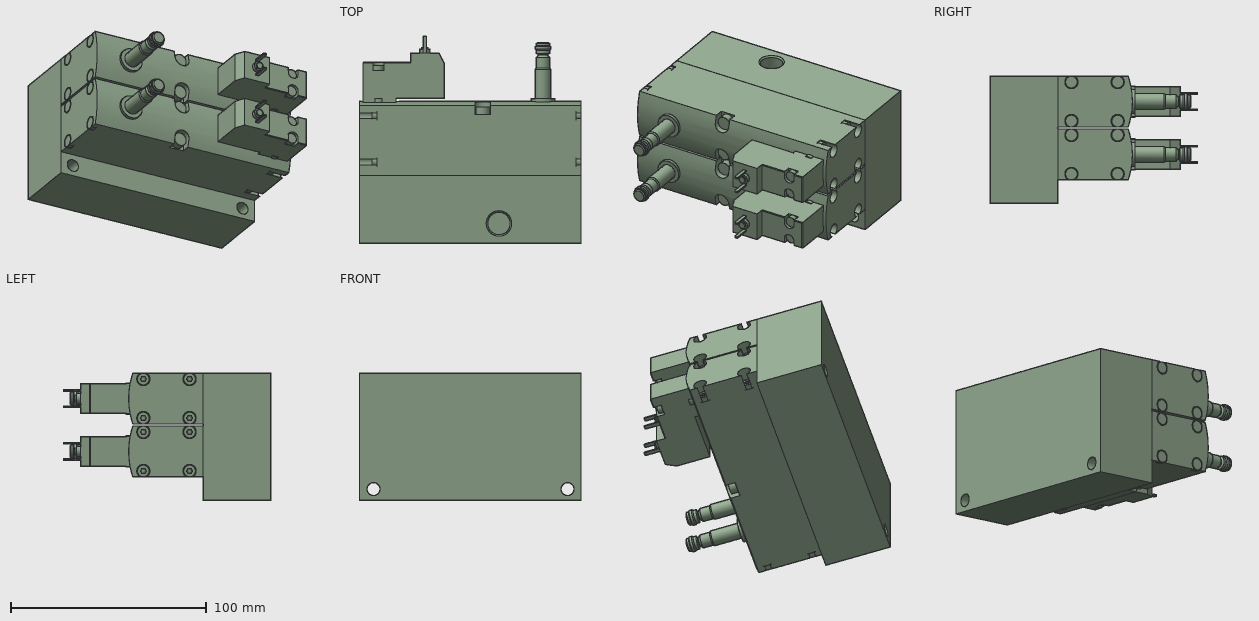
import cadquery as cq
import math

length = 113.1
block_depth = 34.6
block_height = 65.0
valve_width = 26.0
valve_pitch = 27.0
valve_count = 2
top_valve_z = block_height - valve_width / 2

mount_hole_dia = 6.5
mount_hole_x = (7.2, 106.2)
mount_hole_z = 5.8
port_dia = 11.45
port_chamfer_dia = 13.0
port_depth = 12.0
port_x = 71.2
port_y = 10.2
port_chamfer = (port_chamfer_dia - port_dia) / 2

half_width = valve_width / 2
housing_edge_y = 70.5
housing_crown_y = 72.6
left_cap_end_x = 22.1
right_cap_start_x = 104.2
base_strip_end_y = 41.4

cap_pocket_dia = 6.77
cap_head_dia = 6.0
cap_head_length = 2.6
cap_pocket_depth = 8.9
cap_screw_y = (41.5, 65.1)
cap_screw_z = 9.95
socket_core_dia = 2.01
socket_lobe_dia = 0.9
socket_lobe_radius = 1.05
socket_depth = 1.2
socket_lobes = 6

body_screw_x = 63.0
body_slot_width = 8.0
body_slot_floor_y = 65.7
body_head_dia = 7.0
body_head_top_y = 69.6

pilot_width = 15.2
pilot_start_x = 1.8
pilot_foot_end_x = 18.7
pilot_end_x = 43.4
pilot_underside_y = 74.0
pilot_ledge_y = 92.5
pilot_step_x = 26.1
pilot_ledge_chamfer = 0.4
pilot_top_y = 97.1
pilot_bevel_x = 2.7
pilot_bevel_y = 5.3

pilot_screw_x = 9.75
pilot_slot_width = 5.7
pilot_slot_floor_y = 88.3
pilot_head_dia = 5.5
pilot_head_top_y = 90.9
pilot_boss_dia = 7.0
pilot_boss_projection = 0.45

plug_x = 33.4
plug_base_dia = 5.3
plug_base_top_y = 99.1
plug_nub_dia = 3.4
plug_nub_top_y = 100.0
blade_width = 1.8
blade_thickness = 0.8
blade_spacing = 8.2
blade_top_y = 105.8
blade_tip_chamfer = 0.3

connector_x = 93.7
flange_dia = 12.3
flange_top_y = 73.9
shaft_dia = 8.0
shaft_top_y = 88.8
sleeve_dia = 7.0
sleeve_start_y = 89.6
sleeve_end_y = 94.8
neck_dia = 4.5
neck_start_y = 96.1
neck_end_y = 96.4
collar_start_y = 96.9
collar_end_y = 98.4
thread_root_dia = 6.77
thread_dia = 8.0
thread_crest_start_y = 99.1
thread_crest_end_y = 100.4
thread_root_end_y = 100.9
tip_chamfer = 0.6
connector_end_y = 102.5

sides = (-1, 1)


def cylinder_y(x, z, diameter, y_start, y_end):
    """Cylinder along +Y between two Y positions."""
    return cq.Workplane("XZ", origin=(x, y_end, z)).circle(diameter / 2).extrude(y_end - y_start)


def cylinder_x(y, z, diameter, x_start, x_end):
    """Cylinder along +X between two X positions."""
    axis = cq.Vector(1, 0, 0)
    solid = cq.Solid.makeCylinder(diameter / 2, x_end - x_start, cq.Vector(x_start, y, z), axis)
    return cq.Workplane(obj=solid)


def box_between(x_range, y_range, z_range):
    """Box given by its lower and upper limits on each axis."""
    sizes = [high - low for low, high in (x_range, y_range, z_range)]
    return cq.Workplane().box(*sizes, centered=False).translate((x_range[0], y_range[0], z_range[0]))


def make_manifold():
    block = box_between((0, length), (0, block_depth), (0, block_height))
    for x in mount_hole_x:
        block = block.cut(cylinder_y(x, mount_hole_z, mount_hole_dia, 0, block_depth))
    port = (
        cq.Workplane("XY", origin=(port_x, port_y, block_height - port_depth))
        .circle(port_dia / 2)
        .extrude(port_depth)
    )
    mouth = cq.Solid.makeCone(
        port_dia / 2,
        port_chamfer_dia / 2,
        port_chamfer,
        cq.Vector(port_x, port_y, block_height - port_chamfer),
    )
    return block.cut(port).cut(cq.Workplane(obj=mouth))


def crowned_section(x_start, x_end, y_start):
    """Length of housing whose back face is an arc across the valve width."""
    return (
        cq.Workplane("YZ", origin=(x_start, 0, 0))
        .moveTo(y_start, -half_width)
        .lineTo(housing_edge_y, -half_width)
        .threePointArc((housing_crown_y, 0), (housing_edge_y, half_width))
        .lineTo(y_start, half_width)
        .close()
        .extrude(x_end - x_start)
    )


def make_housing():
    """Caps, middle and base strip are joined so that their joint lines stay visible."""
    left_cap = crowned_section(0, left_cap_end_x, block_depth)
    middle = crowned_section(left_cap_end_x, right_cap_start_x, base_strip_end_y)
    right_cap = crowned_section(right_cap_start_x, length, block_depth)
    base_strip = box_between(
        (left_cap_end_x, right_cap_start_x),
        (block_depth, base_strip_end_y),
        (-half_width, half_width),
    )
    housing = left_cap
    for piece in (middle, right_cap, base_strip):
        housing = housing.union(piece, clean=False)
    return housing


def make_socket(y, z, x_start):
    """Six-lobed driver socket cut into a screw head from its -X face."""
    x_end = x_start + socket_depth
    socket = cylinder_x(y, z, socket_core_dia, x_start, x_end)
    for lobe in range(socket_lobes):
        angle = 2 * math.pi * lobe / socket_lobes
        lobe_y = y + socket_lobe_radius * math.cos(angle)
        lobe_z = z + socket_lobe_radius * math.sin(angle)
        socket = socket.union(cylinder_x(lobe_y, lobe_z, socket_lobe_dia, x_start, x_end))
    return socket


def add_cap_screws(valve):
    """Sunk screws in the left cap and flush ones in the right cap, each breaking through the side."""
    left_head_x = cap_pocket_depth - cap_head_length
    right_head_x = length - cap_head_length
    for y in cap_screw_y:
        for side in sides:
            z = side * cap_screw_z
            left_pocket = cylinder_x(y, z, cap_pocket_dia, 0, cap_pocket_depth)
            right_pocket = cylinder_x(y, z, cap_pocket_dia, right_head_x, length)
            valve = valve.cut(left_pocket.union(right_pocket), clean=False)
            left_head = cylinder_x(y, z, cap_head_dia, left_head_x, cap_pocket_depth)
            left_head = left_head.cut(make_socket(y, z, left_head_x))
            right_head = cylinder_x(y, z, cap_head_dia, right_head_x, length)
            valve = valve.union(left_head, clean=False).union(right_head, clean=False)
    return valve


def add_side_screws(valve, x, face_z, slot_width, head_dia, floor_y, head_top_y, slot_top_y):
    """On each side, a round-ended slot open to the side with a screw head just inside it."""
    inset = slot_width / 2
    for side in sides:
        axis_z = side * (face_z - inset)
        outer_z = side * face_z
        slot = cylinder_y(x, axis_z, slot_width, floor_y, slot_top_y).union(
            box_between(
                (x - slot_width / 2, x + slot_width / 2),
                (floor_y, slot_top_y),
                (min(axis_z, outer_z), max(axis_z, outer_z)),
            )
        )
        head = cylinder_y(x, axis_z, head_dia, floor_y, head_top_y)
        valve = valve.cut(slot, clean=False).union(head, clean=False)
    return valve


def make_pilot():
    """Solenoid block with a foot, an overhang, a chamfered ledge and one bevelled top corner."""
    half_pilot = pilot_width / 2
    pilot = (
        cq.Workplane("XY", origin=(0, 0, -half_pilot))
        .moveTo(pilot_start_x, housing_edge_y)
        .lineTo(pilot_foot_end_x, housing_edge_y)
        .lineTo(pilot_foot_end_x, pilot_underside_y)
        .lineTo(pilot_end_x, pilot_underside_y)
        .lineTo(pilot_end_x, pilot_top_y - pilot_bevel_y)
        .lineTo(pilot_end_x - pilot_bevel_x, pilot_top_y)
        .lineTo(pilot_step_x, pilot_top_y)
        .lineTo(pilot_step_x, pilot_ledge_y)
        .lineTo(pilot_start_x, pilot_ledge_y)
        .close()
        .extrude(pilot_width)
    )
    ledge_rim = cq.selectors.BoxSelector(
        (0, pilot_ledge_y - pilot_ledge_chamfer, -pilot_width),
        (pilot_step_x - pilot_ledge_chamfer, pilot_ledge_y + pilot_ledge_chamfer, pilot_width),
    )
    pilot = pilot.edges(ledge_rim).chamfer(pilot_ledge_chamfer)
    for side in sides:
        boss_z = side * (half_pilot + pilot_boss_projection - pilot_boss_dia / 2)
        boss = cylinder_y(pilot_screw_x, boss_z, pilot_boss_dia, housing_edge_y, pilot_underside_y)
        pilot = pilot.union(boss, clean=False)
    return add_side_screws(
        pilot,
        pilot_screw_x,
        half_pilot,
        pilot_slot_width,
        pilot_head_dia,
        pilot_slot_floor_y,
        pilot_head_top_y,
        pilot_ledge_y,
    )


def make_plug():
    """Round plug base with a nub between two flat contact blades."""
    plug = cylinder_y(plug_x, 0, plug_base_dia, pilot_top_y, plug_base_top_y)
    plug = plug.union(cylinder_y(plug_x, 0, plug_nub_dia, plug_base_top_y, plug_nub_top_y))
    for side in sides:
        blade_z = side * blade_spacing / 2
        blade = box_between(
            (plug_x - blade_width / 2, plug_x + blade_width / 2),
            (pilot_top_y, blade_top_y),
            (blade_z - blade_thickness / 2, blade_z + blade_thickness / 2),
        )
        blade = blade.faces(">Y").edges("|Z").chamfer(blade_tip_chamfer)
        plug = plug.add(blade)
    return plug


def make_connector():
    """Turned sensor connector: flange, shaft, sleeve, neck and one thread crest."""
    outline = [
        (0, housing_edge_y),
        (flange_dia / 2, housing_edge_y),
        (flange_dia / 2, flange_top_y),
        (shaft_dia / 2, flange_top_y),
        (shaft_dia / 2, shaft_top_y),
        (sleeve_dia / 2, sleeve_start_y),
        (sleeve_dia / 2, sleeve_end_y),
        (neck_dia / 2, neck_start_y),
        (neck_dia / 2, neck_end_y),
        (sleeve_dia / 2, collar_start_y),
        (sleeve_dia / 2, collar_end_y),
        (thread_root_dia / 2, collar_end_y),
        (thread_dia / 2, thread_crest_start_y),
        (thread_dia / 2, thread_crest_end_y),
        (thread_root_dia / 2, thread_root_end_y),
        (sleeve_dia / 2, thread_root_end_y),
        (sleeve_dia / 2, connector_end_y - tip_chamfer),
        (sleeve_dia / 2 - tip_chamfer, connector_end_y),
        (0, connector_end_y),
    ]
    return cq.Workplane("XY").polyline(outline).close().revolve().translate((connector_x, 0, 0))


def make_valve():
    valve = add_cap_screws(make_housing())
    valve = add_side_screws(
        valve,
        body_screw_x,
        half_width,
        body_slot_width,
        body_head_dia,
        body_slot_floor_y,
        body_head_top_y,
        housing_crown_y,
    )
    valve = valve.union(make_pilot(), clean=False)
    for part in make_plug().vals():
        valve = valve.union(cq.Workplane(obj=part), clean=False)
    return valve.union(make_connector(), clean=False)


manifold = make_manifold()
valve = make_valve()
valves = [valve.translate((0, 0, top_valve_z - i * valve_pitch)) for i in range(valve_count)]

result = cq.Compound.makeCompound([manifold.val(), *[v for copy in valves for v in copy.vals()]])